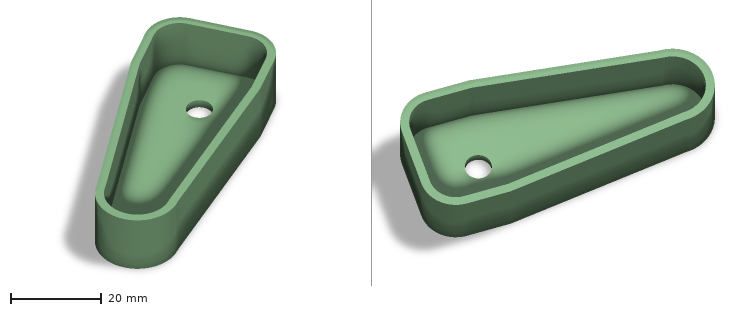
import cadquery as cq
import math

length = 70.0
width = 30.0
height = 14.0

wall = 2.0
floor = 2.0

corner_radius = 8.0
nose_radius = 9.4
taper_start = 18.2

hole_diameter = 6.0
hole_from_end = 15.5

end_y = hole_from_end
nose_center_y = end_y - length + nose_radius


def outline(inset):
    """Closed outer outline, moved inward by inset."""
    half_width = width / 2 - inset
    top_y = end_y - inset
    radius = corner_radius - inset
    nose = nose_radius - inset
    corner_y = top_y - radius
    corner_x = half_width - radius
    arc_mid = radius * math.sqrt(0.5)
    taper_y = end_y - taper_start
    return (
        cq.Workplane("XY")
        .moveTo(-corner_x, top_y)
        .lineTo(corner_x, top_y)
        .threePointArc((corner_x + arc_mid, corner_y + arc_mid), (half_width, corner_y))
        .lineTo(half_width, taper_y)
        .lineTo(nose, nose_center_y)
        .threePointArc((0, nose_center_y - nose), (-nose, nose_center_y))
        .lineTo(-half_width, taper_y)
        .lineTo(-half_width, corner_y)
        .threePointArc((-corner_x - arc_mid, corner_y + arc_mid), (-corner_x, top_y))
        .close()
    )


body = outline(0).extrude(height)
pocket = outline(wall).extrude(height - floor).translate((0, 0, floor))
hole = cq.Workplane("XY").circle(hole_diameter / 2).extrude(floor)

result = body.cut(pocket).cut(hole)